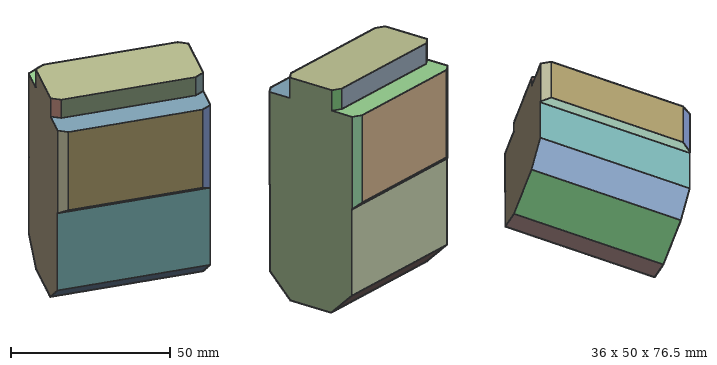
import cadquery as cq
import math

height = 76.5
depth = 50.0
body_width = 36.0

lower_width = 32.1
foot_width = 16.0
foot_height = 7.95

taper_start_drop = 37.0
taper_run = (body_width - lower_width) / 2
taper_top = height - taper_start_drop
taper_bottom = taper_top - taper_run

tongue_width = 20.05
tongue_height = 7.0
shoulder = height - tongue_height

corner_length = 3.0
corner_angle = 30.0
corner_inset = corner_length * math.tan(math.radians(corner_angle))


def prism_from_half_profile(half_profile):
    """Mirror an XZ half outline about X = 0 and extrude it over the full depth."""
    mirrored = [(-x, z) for x, z in reversed(half_profile)]
    profile = cq.Workplane("XZ").polyline(half_profile + mirrored).close()
    return profile.extrude(depth / 2, both=True)


def chamfered_envelope(width):
    """Full-height block whose four vertical edges carry the corner chamfer."""
    half_width = width / 2
    half_depth = depth / 2
    inner_x = half_width - corner_inset
    inner_y = half_depth - corner_length
    outline = [
        (half_width, -inner_y),
        (half_width, inner_y),
        (inner_x, half_depth),
        (-inner_x, half_depth),
        (-half_width, inner_y),
        (-half_width, -inner_y),
        (-inner_x, -half_depth),
        (inner_x, -half_depth),
    ]
    return cq.Workplane("XY").polyline(outline).close().extrude(height)


lower_body = prism_from_half_profile([
    (foot_width / 2, 0),
    (lower_width / 2, foot_height),
    (lower_width / 2, taper_bottom),
])

upper_body = prism_from_half_profile([
    (lower_width / 2, taper_bottom),
    (body_width / 2, taper_top),
    (body_width / 2, shoulder),
]).intersect(chamfered_envelope(body_width))

tongue = prism_from_half_profile([
    (tongue_width / 2, shoulder),
    (tongue_width / 2, height),
]).intersect(chamfered_envelope(tongue_width))

result = lower_body.union(upper_body).union(tongue)